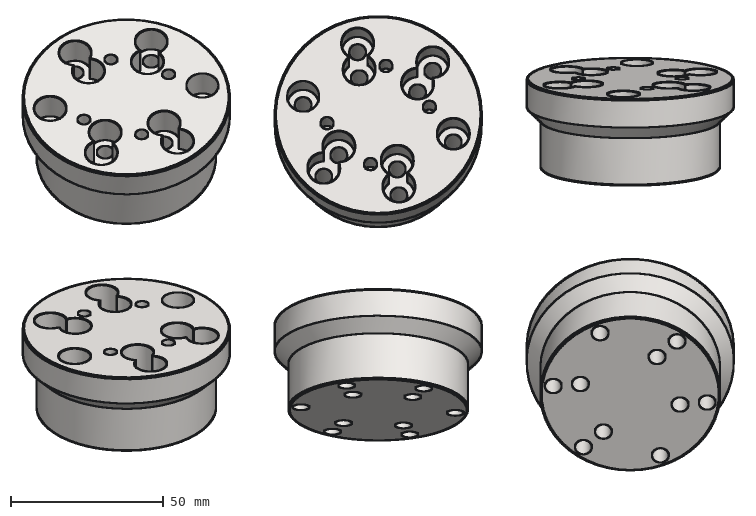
import cadquery as cq
import math

flange_diameter = 68
body_diameter = 59.0
height = 30.0
body_height = 16.0
edge_chamfer = 0.5

hole_diameter = 5.5
counterbore_diameter = 10.5
counterbore_depth = 10.0
counterbore_chamfer = 0.17
outer_hole_radius = 25.4
outer_hole_count = 6
outer_hole_pitch = 360 / outer_hole_count
sharp_hole_angle = 30

pattern_half_angle = 36
inner_hole_radius = 16.8
inner_pattern_axis = 120.4

passage_width = 6.05

drill_diameter = 4.2
drill_depth = 10.0
drill_point_angle = 118
drill_circle_radius = 17
drill_pattern_axis = 90


def polar(radius, angle):
    """XY point at an angle in degrees on a circle about the Z axis."""
    return radius * math.cos(math.radians(angle)), radius * math.sin(math.radians(angle))


def rectangle_angles(axis):
    """Angles of four holes placed symmetrically about an axis through the centre."""
    return [
        axis + side + offset
        for side in (0, 180)
        for offset in (-pattern_half_angle, pattern_half_angle)
    ]


def revolve_profile(points):
    """Solid of revolution about Z from (radius, height) points."""
    return cq.Workplane("XZ").polyline(points).close().revolve(360, (0, 0), (0, 1))


def make_body():
    """Flange tapering at 45 degrees to a narrower body, with chamfered end rims."""
    flange_radius = flange_diameter / 2
    body_radius = body_diameter / 2
    taper_height = flange_radius - body_radius
    return revolve_profile([
        (0, 0),
        (body_radius - edge_chamfer, 0),
        (body_radius, edge_chamfer),
        (body_radius, body_height),
        (flange_radius, body_height + taper_height),
        (flange_radius, height - edge_chamfer),
        (flange_radius - edge_chamfer, height),
        (0, height),
    ])


def make_screw_hole(rim_chamfer):
    """Cutter for a counterbored through hole; a rim chamfer of 0 leaves a sharp rim."""
    hole_radius = hole_diameter / 2
    counterbore_radius = counterbore_diameter / 2
    counterbore_floor = height - counterbore_depth
    points = [
        (0, 0),
        (hole_radius, 0),
        (hole_radius, counterbore_floor),
        (counterbore_radius, counterbore_floor),
        (counterbore_radius, height - rim_chamfer),
    ]
    if rim_chamfer > 0:
        points.append((counterbore_radius + rim_chamfer, height))
    points.append((0, height))
    return revolve_profile(points)


def make_drilled_hole():
    """Cutter for a blind hole with a conical drill point."""
    drill_radius = drill_diameter / 2
    shoulder = height - drill_depth
    point_length = drill_radius / math.tan(math.radians(drill_point_angle / 2))
    return revolve_profile([
        (0, shoulder - point_length),
        (drill_radius, shoulder),
        (drill_radius, height),
        (0, height),
    ])


def make_passage(start, end):
    """Cutter joining two counterbores, from centre to centre, with a chamfered rim."""
    length = math.dist(start, end)
    direction = math.degrees(math.atan2(end[1] - start[1], end[0] - start[0]))
    half_width = passage_width / 2
    floor = height - counterbore_depth
    section = [
        (-half_width, floor),
        (half_width, floor),
        (half_width, height - counterbore_chamfer),
        (half_width + counterbore_chamfer, height),
        (-half_width - counterbore_chamfer, height),
        (-half_width, height - counterbore_chamfer),
    ]
    passage = cq.Workplane("YZ").polyline(section).close().extrude(length)
    return passage.rotate((0, 0, 0), (0, 0, 1), direction).translate((start[0], start[1], 0))


def nearest_outer_angle(angle):
    """Angle of the outer hole closest to the given angle."""
    steps = round((angle - sharp_hole_angle) / outer_hole_pitch)
    return sharp_hole_angle + steps * outer_hole_pitch


def cut_at(part, cutter, radius, angle):
    """Cut a copy of the cutter at a polar position."""
    x, y = polar(radius, angle)
    return part.cut(cutter.translate((x, y, 0)))


chamfered_hole = make_screw_hole(counterbore_chamfer)
sharp_hole = make_screw_hole(0)
drilled_hole = make_drilled_hole()

result = make_body()

for index in range(outer_hole_count):
    angle = sharp_hole_angle + index * outer_hole_pitch
    cutter = sharp_hole if index == 0 else chamfered_hole
    result = cut_at(result, cutter, outer_hole_radius, angle)

for angle in rectangle_angles(inner_pattern_axis):
    result = cut_at(result, chamfered_hole, inner_hole_radius, angle)
    inner_centre = polar(inner_hole_radius, angle)
    outer_centre = polar(outer_hole_radius, nearest_outer_angle(angle))
    result = result.cut(make_passage(inner_centre, outer_centre))

for angle in rectangle_angles(drill_pattern_axis):
    result = cut_at(result, drilled_hole, drill_circle_radius, angle)